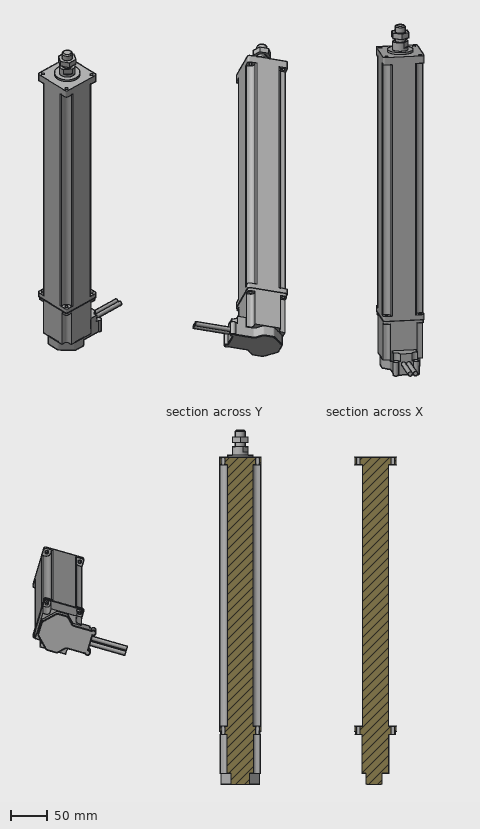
import cadquery as cq
import math

CAP_TOP = 15.5
MOTOR_TOP = 73.5
BODY_TOP = 452.5
BOSS_TOP = 455.0
SHOULDER_TOP = 467.0
ROD_TOP = 489.5

BODY_SIDE = 58.0
BODY_GROOVE_HALF = 18.0
BODY_GROOVE_RADIUS = 6.5
BODY_CHAMFER_WIDTH = 2.0
BODY_CHAMFER_DEPTH = 1.2
BODY_GROOVE_BOTTOM = 81.0
BODY_GROOVE_TOP = 441.5

MOTOR_SIDE = 56.0
MOTOR_GROOVE_HALF = 18.5
MOTOR_GROOVE_RADIUS = 4.5
MOTOR_GROOVE_TOP = 69.0

CORNER_RADIUS = 3.0
CORNER_ANGLES = (0, 90, 180, 270)
MOUNT_HOLE_SPACING = 47.5
MOUNT_HOLE_DIAMETER = 4.5

CAP_HALF = 27.0
CAP_FACE_HALF = 10.0
CAP_SHOULDER_Y = 6.0
CAP_EDGE_RADIUS = 4.15
CAP_CHAMFER = 1.0
BLOCK_WIDTH = 34.0
BLOCK_END_Y = 46.0
BLOCK_TOP = 31.0
LUG_SPACING = 29.0
LUG_Y = 46.0
LUG_TOP = 20.0
LUG_DIAMETER = 8.0
LUG_CLEARANCE_DIAMETER = 12.0

CABLE_DIAMETER = 6.5
CABLE_SPACING = 7.5
CABLE_Z = 16.0
CABLE_END_Y = 97.5

BOSS_DIAMETER = 35.0
SHOULDER_DIAMETER = 22.0
WRENCH_WIDTH = 18.0
WRENCH_BOTTOM = 459.0
WRENCH_ANGLE = -37.0
TIP_DIAMETER = 14.0
TIP_CHAMFER = 1.7
NUT_SIDES = 6
NUT_WIDTH = 22.0
NUT_BOTTOM = 472.5
NUT_TOP = 480.0


def square_bar(side, bottom, top):
    """Upright square bar on the Z axis, with rounded corners."""
    bar = cq.Workplane("XY").workplane(offset=bottom).rect(side, side).extrude(top - bottom)
    return bar.edges("|Z").fillet(CORNER_RADIUS)


def cylinder(diameter, bottom, top):
    """Upright cylinder on the Z axis."""
    return cq.Workplane("XY").workplane(offset=bottom).circle(diameter / 2).extrude(top - bottom)


def lug_cylinders(diameter, bottom, top):
    """One cylinder on each lug axis."""
    axes = [(-LUG_SPACING / 2, LUG_Y), (LUG_SPACING / 2, LUG_Y)]
    cylinders = cq.Workplane("XY").workplane(offset=bottom).pushPoints(axes)
    return cylinders.circle(diameter / 2).extrude(top - bottom)


def cut_corners(bar, cutter):
    """Cut the same groove from all four corners of a bar."""
    for angle in CORNER_ANGLES:
        bar = bar.cut(cutter.rotate((0, 0, 0), (0, 0, 1), angle))
    return bar


def corner_groove(wall, bar_half, inner_radius, bottom, top):
    """Cutter for the +X +Y corner: two square walls joined by a round inner corner."""
    size = 2 * (bar_half - wall)
    groove = (
        cq.Workplane("XY").workplane(offset=bottom)
        .rect(size, size, centered=False)
        .extrude(top - bottom)
        .edges("|Z and <X and <Y").fillet(inner_radius)
    )
    return groove.translate((wall, wall, 0))


def groove_chamfer(wall, bar_half, width, depth, bottom, top):
    """Triangular cutter that chamfers the groove edge on the +X face of the +X +Y corner."""
    return (
        cq.Workplane("XY").workplane(offset=bottom)
        .polyline([(bar_half - depth, wall), (bar_half, wall - width), (bar_half, wall)])
        .close()
        .extrude(top - bottom)
    )


def make_body():
    """Square body with flanges left at both ends of its chamfered corner grooves."""
    half = BODY_SIDE / 2
    span = (BODY_GROOVE_BOTTOM, BODY_GROOVE_TOP)
    groove = corner_groove(BODY_GROOVE_HALF, half, BODY_GROOVE_RADIUS, *span)
    x_face_chamfer = groove_chamfer(BODY_GROOVE_HALF, half, BODY_CHAMFER_WIDTH, BODY_CHAMFER_DEPTH, *span)
    y_face_chamfer = x_face_chamfer.mirror("XZ").rotate((0, 0, 0), (0, 0, 1), 90)
    body = square_bar(BODY_SIDE, MOTOR_TOP, BODY_TOP)
    for cutter in (groove, x_face_chamfer, y_face_chamfer):
        body = cut_corners(body, cutter)
    return body


def make_motor():
    """Square motor with a thin flange left above its corner grooves."""
    motor = square_bar(MOTOR_SIDE, CAP_TOP, MOTOR_TOP)
    groove = corner_groove(
        MOTOR_GROOVE_HALF, MOTOR_SIDE / 2, MOTOR_GROOVE_RADIUS, CAP_TOP, MOTOR_GROOVE_TOP
    )
    return cut_corners(motor, groove)


def make_cap():
    """End cap: chamfered in front, narrowing at the back to the lower connector block."""
    block_half = BLOCK_WIDTH / 2
    right_side = [
        (CAP_FACE_HALF, -CAP_HALF),
        (CAP_HALF, -CAP_FACE_HALF),
        (CAP_HALF, CAP_SHOULDER_Y),
        (block_half, CAP_SHOULDER_Y + CAP_HALF - block_half),
    ]
    block_end = [(block_half, BLOCK_END_Y), (-block_half, BLOCK_END_Y)]
    left_side = [(-x, y) for x, y in reversed(right_side)]
    cap = cq.Workplane("XY").polyline(right_side + block_end + left_side).close().extrude(CAP_TOP)
    cap = cap.edges("|Z").edges("not >Y").fillet(CAP_EDGE_RADIUS)
    lugs = lug_cylinders(LUG_DIAMETER, 0, CAP_TOP)
    return cap.union(lugs).faces("<Z").chamfer(CAP_CHAMFER)


def make_connector_block():
    """Raised part of the block behind the motor, cleared around the lug tops."""
    motor_back = MOTOR_SIDE / 2
    depth = BLOCK_END_Y - motor_back
    block = (
        cq.Workplane("XY").workplane(offset=CAP_TOP)
        .center(0, motor_back + depth / 2)
        .rect(BLOCK_WIDTH, depth)
        .extrude(BLOCK_TOP - CAP_TOP)
    )
    block = block.cut(lug_cylinders(LUG_CLEARANCE_DIAMETER, LUG_TOP, BLOCK_TOP))
    return block.union(lug_cylinders(LUG_DIAMETER, CAP_TOP, LUG_TOP))


def make_cables():
    """Two parallel cables leaving the back of the connector block."""
    axes = [(-CABLE_SPACING / 2, CABLE_Z), (CABLE_SPACING / 2, CABLE_Z)]
    length = CABLE_END_Y - BLOCK_END_Y
    start = cq.Workplane("XZ", origin=(0, BLOCK_END_Y, 0)).pushPoints(axes)
    return start.circle(CABLE_DIAMETER / 2).extrude(-length)


def make_rod():
    """Boss, rod shoulder with two wrench flats, and chamfered tip."""
    boss = cylinder(BOSS_DIAMETER, BODY_TOP, BOSS_TOP)
    shoulder = cylinder(SHOULDER_DIAMETER, BOSS_TOP, WRENCH_BOTTOM)
    wrench_flats = (
        cq.Workplane("XY").workplane(offset=WRENCH_BOTTOM)
        .rect(WRENCH_WIDTH, SHOULDER_DIAMETER)
        .extrude(SHOULDER_TOP - WRENCH_BOTTOM)
        .rotate((0, 0, 0), (0, 0, 1), WRENCH_ANGLE)
        .intersect(cylinder(SHOULDER_DIAMETER, WRENCH_BOTTOM, SHOULDER_TOP))
    )
    tip = cylinder(TIP_DIAMETER, SHOULDER_TOP, ROD_TOP).faces(">Z").chamfer(TIP_CHAMFER)
    return boss.union(shoulder).union(wrench_flats).union(tip)


def make_actuator():
    """Body, motor, end cap, connector block, cables and rod as one solid."""
    actuator = make_body().union(make_motor())
    holes = (
        cq.Workplane("XY").workplane(offset=CAP_TOP)
        .rect(MOUNT_HOLE_SPACING, MOUNT_HOLE_SPACING, forConstruction=True).vertices()
        .circle(MOUNT_HOLE_DIAMETER / 2)
        .extrude(BODY_TOP - CAP_TOP)
    )
    actuator = actuator.cut(holes)
    for part in (make_cap(), make_connector_block(), make_cables(), make_rod()):
        actuator = actuator.union(part)
    return actuator


def make_nut():
    """Hexagonal nut on the threaded tip, with two flats square to X."""
    half_side_angle = 180 / NUT_SIDES
    across_corners = NUT_WIDTH / math.cos(math.radians(half_side_angle))
    return (
        cq.Workplane("XY").workplane(offset=NUT_BOTTOM)
        .polygon(NUT_SIDES, across_corners)
        .extrude(NUT_TOP - NUT_BOTTOM)
        .rotate((0, 0, 0), (0, 0, 1), half_side_angle)
        .cut(cylinder(TIP_DIAMETER, NUT_BOTTOM, NUT_TOP))
    )


actuator = make_actuator()
nut = make_nut()
result = cq.Compound.makeCompound([actuator.val(), nut.val()])